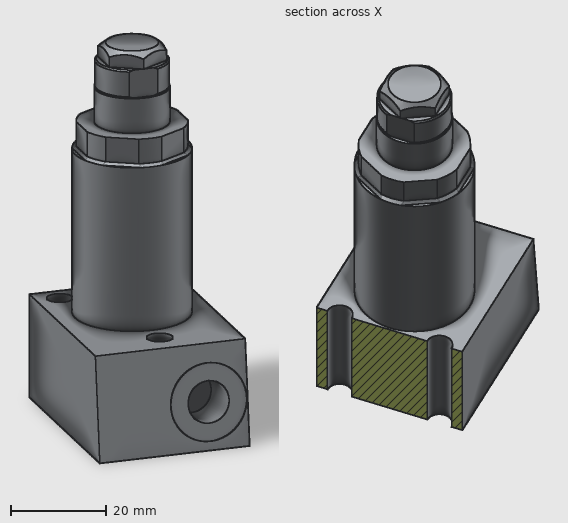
import cadquery as cq
import math

block_length = 44.5
block_top_length = 41.7
block_width = 33.3
block_height = 22.9

hole_diameter = 5.5
hole_positions = [(4.5, 11.4), (4.5, -11.4), (35.0, 0)]

port_y = 8.0
port_z = 10.3
port_diameter = 9.1
port_depth = 11.6
spotface_diameter = 16.9
spotface_depth = 0.2

axis_x = 17.5
body_diameter = 25.2
body_top = 59.2
nut_bottom = 59.8
nut_flats = 22.4
flare_flats = 23.7
nut_diameter = 23.5
nut_top = 65.2
stem_diameter = 15.95
stem_top = 72.9
collar_diameter = 15.7
collar_flats = 14.4
collar_top = 79.1
collar_chamfer = 0.3
cap_flats = 12.7
cap_top = 82.7
cap_crown_diameter = 11.1
cap_crown_slope = 0.75


def cylinder(diameter, bottom, top):
    return cq.Workplane("XY", origin=(axis_x, 0, bottom)).circle(diameter / 2).extrude(top - bottom)


def cone(bottom_diameter, top_diameter, bottom, top):
    return (
        cq.Workplane("XY", origin=(axis_x, 0, bottom))
        .circle(bottom_diameter / 2)
        .workplane(offset=top - bottom)
        .circle(top_diameter / 2)
        .loft()
    )


def corner_diameter(flats):
    """Distance across the corners of a hexagon from its distance across flats."""
    return flats / math.cos(math.pi / 6)


def hexagon(flats, bottom, top):
    """Hexagonal prism with corners on the X axis and flats facing +Y and -Y."""
    base = cq.Workplane("XY", origin=(axis_x, 0, bottom))
    return base.polygon(6, corner_diameter(flats)).extrude(top - bottom)


def make_block():
    block = (
        cq.Workplane("XZ")
        .polyline([(0, 0), (block_length, 0), (block_top_length, block_height), (0, block_height)])
        .close()
        .extrude(block_width / 2, both=True)
    )
    holes = cq.Workplane("XY").pushPoints(hole_positions).circle(hole_diameter / 2).extrude(block_height)
    return block.cut(holes)


def make_port():
    lean = (block_length - block_top_length) / block_height
    face_point = (block_length - lean * port_z, port_y, port_z)
    face = cq.Workplane(cq.Plane(origin=face_point, xDir=(0, 1, 0), normal=(1, 0, lean)))
    spotface = face.circle(spotface_diameter / 2).extrude(-spotface_depth)
    return face.circle(port_diameter / 2).extrude(-port_depth).union(spotface)


def make_flare():
    """Flared foot of the nut, widening to the rim of the body."""
    height = nut_bottom - body_top
    hex_flare = (
        cq.Workplane("XY", origin=(axis_x, 0, body_top))
        .polygon(6, corner_diameter(flare_flats))
        .workplane(offset=height)
        .polygon(6, corner_diameter(nut_flats))
        .loft()
    )
    return hex_flare.intersect(cone(body_diameter, nut_diameter, body_top, nut_bottom))


def make_nut():
    return hexagon(nut_flats, nut_bottom, nut_top).intersect(cylinder(nut_diameter, nut_bottom, nut_top))


def make_collar():
    """Chamfered collar with two flats facing +X and -X."""
    height = collar_top - stem_top
    flats = cq.Workplane("XY", origin=(axis_x, 0, stem_top)).rect(collar_flats, collar_diameter).extrude(height)
    collar = cylinder(collar_diameter, stem_top, collar_top).edges("%CIRCLE").chamfer(collar_chamfer)
    return collar.intersect(flats)


def make_cap():
    """Hexagonal cap crowned by a cone."""
    cap_height = cap_top - collar_top
    base_diameter = cap_crown_diameter + 2 * cap_height / cap_crown_slope
    crown = cone(base_diameter, cap_crown_diameter, collar_top, cap_top)
    return hexagon(cap_flats, collar_top, cap_top).intersect(crown)


result = (
    make_block()
    .cut(make_port())
    .union(cylinder(body_diameter, block_height, body_top))
    .union(make_flare())
    .union(make_nut())
    .union(cylinder(stem_diameter, nut_top, stem_top))
    .union(make_collar())
    .union(make_cap())
)